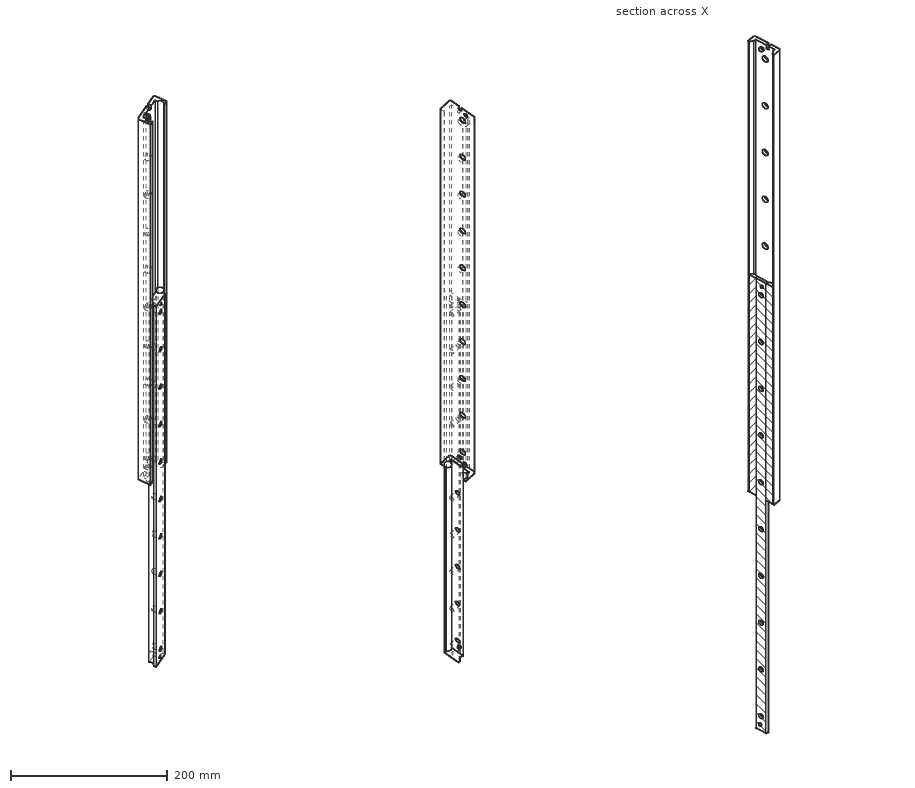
import cadquery as cq

member_length = 770.0
total_length = 1168.0
stroke = total_length - member_length
overlap = member_length - stroke
total_depth = 22.0

rail_width = 43.0
rail_depth = 19.0
web_thickness = 5.0
flange_thickness = 6.0
rail_corner_radius = 2.5

slider_width = 24.0
slider_nose_x = 10.0

track_radius = 5.0
track_x = 13.5
track_y = 13.5

hole_pitch = 80.0
hole_end_distance = 25.0
hole_count = 10
rail_hole_diameter = 9.0
slider_hole_diameter = 7.0

pin_end_distance = 10.0
rail_pin_diameter = 6.0
rail_pin_offset = 5.0
rail_pin_length = 8.0
slider_pin_diameter = 4.0
slider_pin_offset = 1.5
slider_pin_protrusion = 3.0

notch_width = 4.0
notch_depth = 6.0
notch_offset = 4.0


def ball_tracks(start, length):
    """Two round bars that fill the ball tracks, one on each side of the slider."""
    return (
        cq.Workplane("XY", origin=(track_x, 0, start))
        .pushPoints([(0, -track_y), (0, track_y)])
        .circle(track_radius)
        .extrude(length)
    )


def mounting_holes(start, diameter):
    points = [(0, start + hole_end_distance + i * hole_pitch) for i in range(hole_count)]
    return cq.Workplane("YZ").pushPoints(points).circle(diameter / 2).extrude(total_depth)


def stop_pins(start, offset, diameter, x_start, x_end):
    """Two pins along X; the second is the first turned half a turn about the member's centre."""
    points = [
        (offset, start + pin_end_distance),
        (-offset, start + member_length - pin_end_distance),
    ]
    return (
        cq.Workplane("YZ", origin=(x_start, 0, 0))
        .pushPoints(points)
        .circle(diameter / 2)
        .extrude(x_end - x_start)
    )


def end_notches():
    """Rectangular notches in the rail web, each beside a stop pin and open at the rail end."""
    points = [(-notch_offset, stroke), (notch_offset, total_length)]
    return (
        cq.Workplane("YZ")
        .pushPoints(points)
        .rect(notch_width, 2 * notch_depth)
        .extrude(web_thickness)
    )


def make_rail():
    body = (
        cq.Workplane("XY", origin=(0, 0, stroke))
        .moveTo(rail_depth / 2, 0)
        .rect(rail_depth, rail_width)
        .extrude(member_length)
        .edges("|Z and <X")
        .fillet(rail_corner_radius)
    )
    channel = (
        cq.Workplane("XY", origin=(0, 0, stroke))
        .moveTo(web_thickness + rail_depth / 2, 0)
        .rect(rail_depth, rail_width - 2 * flange_thickness)
        .extrude(member_length)
    )
    return (
        body.cut(channel)
        .cut(ball_tracks(stroke, member_length))
        .cut(mounting_holes(stroke, rail_hole_diameter))
        .cut(end_notches())
    )


def make_slider():
    body = (
        cq.Workplane("XY")
        .moveTo((slider_nose_x + total_depth) / 2, 0)
        .rect(total_depth - slider_nose_x, slider_width)
        .extrude(member_length)
    )
    return body.cut(ball_tracks(0, member_length)).cut(mounting_holes(0, slider_hole_diameter))


rail_pins = stop_pins(stroke, rail_pin_offset, rail_pin_diameter, 0, rail_pin_length)
slider_pins = stop_pins(
    0, -slider_pin_offset, slider_pin_diameter, slider_nose_x - slider_pin_protrusion, total_depth
)

ball_cages = ball_tracks(stroke, overlap)

rail = make_rail().cut(rail_pins)
slider = make_slider().cut(slider_pins)

result = cq.Compound.makeCompound(
    [
        rail.val(),
        slider.val(),
        *rail_pins.solids().vals(),
        *slider_pins.solids().vals(),
        *ball_cages.solids().vals(),
    ]
)